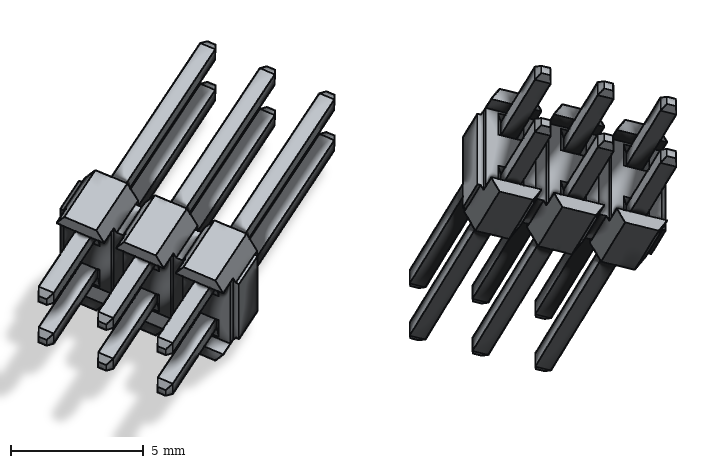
import cadquery as cq


columns = 3
rows = 2
overall_width = 7.62
pitch = overall_width / columns

pin_length = 13.63
pin_side = 0.64
tip_side = 0.35
tip_length = 0.3
pin_rear_reach = 8.07

body_height = 5.0
block_depth = 2.51
block_top_width = 1.36
block_width = 2.28
block_side_height = 3.42

front_width = 2.03
front_step_depth = 1.72
recess_floor_depth = 1.94
recess_height = 3.8

web_setback = 0.2
web_height = 3.43

lead_in_side = 1.04
lead_in_depth = 0.23

column_places = [(i - (columns - 1) / 2) * pitch for i in range(columns)]
row_places = [(i - (rows - 1) / 2) * pitch for i in range(rows)]
pin_places = [(x, z) for x in column_places for z in row_places]


def slab(width, height, y_rear, y_front):
    """Rectangular slab centred on X and Z between two Y positions."""
    depth = y_rear - y_front
    return cq.Workplane("XY").box(width, depth, height).translate((0, (y_rear + y_front) / 2, 0))


def square_frustum(y_start, side_start, y_end, side_end):
    """Square frustum along Y that narrows or widens towards -Y."""
    return (
        cq.Workplane("XZ", origin=(0, y_start, 0))
        .rect(side_start, side_start)
        .workplane(offset=y_start - y_end)
        .rect(side_end, side_end)
        .loft(ruled=True)
    )


def make_block():
    half_height = body_height / 2
    half_side = block_side_height / 2
    half_top = block_top_width / 2
    half_width = block_width / 2
    block = (
        cq.Workplane("XZ")
        .polyline([
            (half_top, half_height),
            (half_width, half_side),
            (half_width, -half_side),
            (half_top, -half_height),
            (-half_top, -half_height),
            (-half_width, -half_side),
            (-half_width, half_side),
            (-half_top, half_height),
        ])
        .close()
        .extrude(block_depth)
    )
    side_trim = slab(block_width, body_height, -front_step_depth, -block_depth).cut(
        slab(front_width, body_height, -front_step_depth, -block_depth)
    )
    recess = slab(block_width, recess_height, -recess_floor_depth, -block_depth)
    return block.cut(side_trim).cut(recess)


def make_lead_in():
    return square_frustum(
        -recess_floor_depth + lead_in_depth, pin_side, -recess_floor_depth, lead_in_side
    )


def make_pin():
    rear_end = pin_rear_reach
    front_end = pin_rear_reach - pin_length
    shank = slab(pin_side, pin_side, rear_end - tip_length, front_end + tip_length)
    rear_tip = square_frustum(rear_end, tip_side, rear_end - tip_length, pin_side)
    front_tip = square_frustum(front_end + tip_length, pin_side, front_end, tip_side)
    return shank.union(rear_tip).union(front_tip)


body = slab(overall_width, web_height, -web_setback, -front_step_depth)
block = make_block()
for x in column_places:
    body = body.union(block.translate((x, 0, 0)))

lead_in = make_lead_in()
pin = make_pin()
for x, z in pin_places:
    body = body.cut(lead_in.translate((x, 0, z)))
for x, z in pin_places:
    body = body.union(pin.translate((x, 0, z)))

result = body